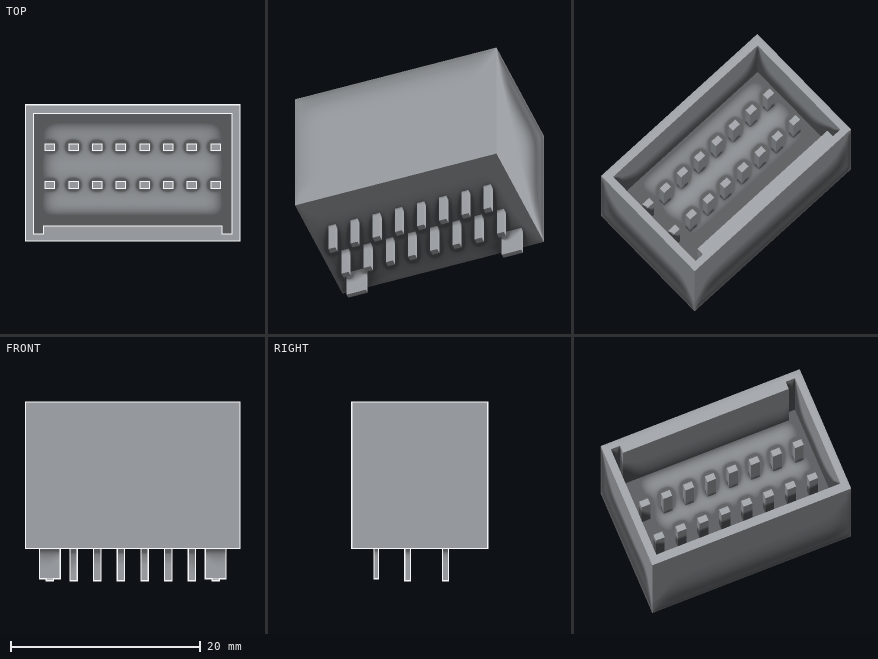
import cadquery as cq

LENGTH = 22.7
WIDTH = 14.4
HEIGHT = 15.5

CAVITY_LENGTH = 21.0
BACK_WALL = 0.95
FRONT_WALL = 0.75
FLOOR = 5.3

RIB_LENGTH = 18.9
RIB_DEPTH = 0.85

PINS_PER_ROW = 8
PIN_PITCH = 2.5
BACK_ROW_Y = 2.72
ROW_SPACING = 4.0
ROW_POSITIONS = (BACK_ROW_Y, BACK_ROW_Y - ROW_SPACING)
PIN_LENGTH_X = 1.0
PIN_WIDTH_Y = 0.7
PIN_TOP = 10.1
TAIL_LENGTH_X = 0.8
TAIL_WIDTH_Y = 0.64
TAIL_DROP = 3.4

TAB_LENGTH_X = 2.2
TAB_THICKNESS = 0.5
TAB_DROP = 3.2
TAB_Y = -4.6

END_PIN_X = PIN_PITCH * (PINS_PER_ROW - 1) / 2


def upright_box(length_x, width_y, centre_x, centre_y, z_bottom, z_top):
    """Box standing between two heights, centred on the given X and Y."""
    box = cq.Workplane("XY").box(length_x, width_y, z_top - z_bottom, centered=(True, True, False))
    return box.translate((centre_x, centre_y, z_bottom))


def make_housing():
    body = upright_box(LENGTH, WIDTH, 0, 0, 0, HEIGHT)
    cavity_front = -WIDTH / 2 + FRONT_WALL
    cavity_back = WIDTH / 2 - BACK_WALL
    cavity_width = cavity_back - cavity_front
    cavity_y = (cavity_front + cavity_back) / 2
    cavity = upright_box(CAVITY_LENGTH, cavity_width, 0, cavity_y, FLOOR, HEIGHT)
    rib_y = cavity_front + RIB_DEPTH / 2
    rib = upright_box(RIB_LENGTH, RIB_DEPTH, 0, rib_y, FLOOR, HEIGHT)
    return body.cut(cavity.cut(rib))


def make_contact(x, y):
    """Contact blade above the bottom face with a narrower solder tail below it."""
    blade = upright_box(PIN_LENGTH_X, PIN_WIDTH_Y, x, y, 0, PIN_TOP)
    tail = upright_box(TAIL_LENGTH_X, TAIL_WIDTH_Y, x, y, -TAIL_DROP, FLOOR)
    return blade.union(tail)


def make_tab(x):
    """Mounting tab rooted in the housing floor."""
    return upright_box(TAB_LENGTH_X, TAB_THICKNESS, x, TAB_Y, -TAB_DROP, FLOOR / 2)


result = make_housing()

for row_y in ROW_POSITIONS:
    for index in range(PINS_PER_ROW):
        pin_x = index * PIN_PITCH - END_PIN_X
        result = result.union(make_contact(pin_x, row_y))

for tab_x in (-END_PIN_X, END_PIN_X):
    result = result.union(make_tab(tab_x))